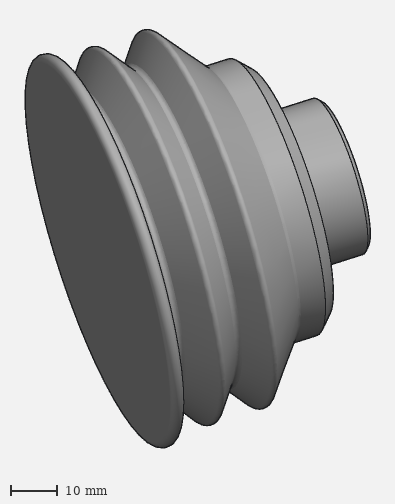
import cadquery as cq

total_length = 56.0

lip_radius = 44.0
lip_thickness = 3.0
rim_round = lip_thickness / 2
lip_cone_radius = 39.95

fold_radius = 42.9
front_fold_y = 12.1
fold_pitch = 12.0
rear_fold_y = front_fold_y + fold_pitch
middle_groove_radius = 35.5
middle_groove_y = front_fold_y + fold_pitch / 2
lip_groove_radius = 34.0
lip_groove_y = 5.3
fold_round = 1.0

collar_radius = 62.0 / 2
collar_front_y = 34.0
collar_back_y = 43.0
collar_chamfer = 3.0
neck_radius = 35.0 / 2
neck_chamfer = 1.0

lip_groove = (lip_groove_radius, lip_groove_y)
front_fold = (fold_radius, front_fold_y)
middle_groove = (middle_groove_radius, middle_groove_y)
rear_fold = (fold_radius, rear_fold_y)
collar_front = (collar_radius, collar_front_y)


def revolve_profile():
    """Turn the half section around Y, with the fold corners still sharp."""
    rim_center_radius = lip_radius - rim_round
    return (
        cq.Workplane("XY")
        .lineTo(rim_center_radius, 0)
        .threePointArc((lip_radius, rim_round), (rim_center_radius, lip_thickness))
        .lineTo(lip_cone_radius, lip_thickness)
        .lineTo(*lip_groove)
        .lineTo(*front_fold)
        .lineTo(*middle_groove)
        .lineTo(*rear_fold)
        .lineTo(*collar_front)
        .lineTo(collar_radius, collar_back_y - collar_chamfer)
        .lineTo(collar_radius - collar_chamfer, collar_back_y)
        .lineTo(neck_radius, collar_back_y)
        .lineTo(neck_radius, total_length - neck_chamfer)
        .lineTo(neck_radius - neck_chamfer, total_length)
        .lineTo(0, total_length)
        .close()
        .revolve(360, (0, 0, 0), (0, 1, 0))
    )


def round_folds(body):
    """Round the ridges, the grooves and the corner in front of the collar."""
    for _, y in (lip_groove, front_fold, middle_groove, rear_fold, collar_front):
        margin = fold_round / 2
        slab = cq.selectors.BoxSelector(
            (-lip_radius, y - margin, -lip_radius),
            (lip_radius, y + margin, lip_radius),
        )
        body = body.edges("%CIRCLE").edges(slab).fillet(fold_round)
    return body


result = round_folds(revolve_profile())